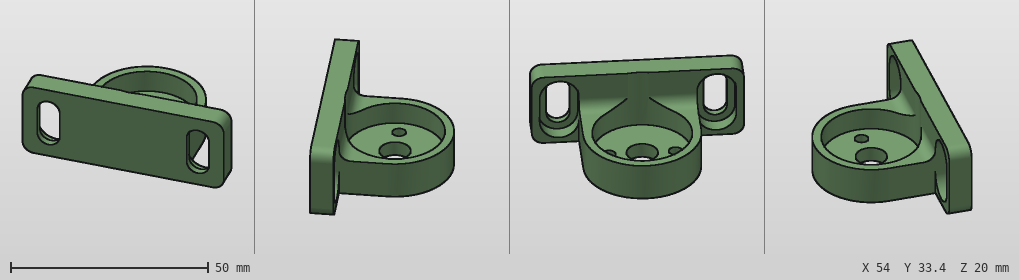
import cadquery as cq

plate_length = 54
plate_thickness = 6.0
plate_height = 20
corner_radius = 3.0

slot_width = 6.0
slot_length = 13.0
slot_spacing = 40.0
slot_lip_thickness = 2.0
recess_margin = 2.0

total_depth = 33.4
cup_width = 30.0
cup_height = plate_height / 2
cup_radius = cup_width / 2
cup_center_y = total_depth - cup_radius
fillet_radius = 3.0

pocket_diameter = 25.4
pocket_depth = 6.0
pocket_floor = cup_height - pocket_depth
center_hole_diameter = 8.0
screw_hole_diameter = 3.5
screw_hole_spacing = 17.0


def slot_pair(width, length, front, back):
    """Upright slots on both sides of the plate, cut from Y = front to Y = back."""
    return (
        cq.Workplane("XZ", origin=(0, front, plate_height / 2))
        .pushPoints([(-slot_spacing / 2, 0), (slot_spacing / 2, 0)])
        .slot2D(length, width, 90)
        .extrude(front - back)
    )


def make_plate():
    plate = (
        cq.Workplane("XY")
        .box(plate_length, plate_thickness, plate_height, centered=(True, False, False))
        .edges("|Y")
        .fillet(corner_radius)
    )
    slots = slot_pair(slot_width, slot_length, 0, plate_thickness)
    recesses = slot_pair(
        slot_width + 2 * recess_margin,
        slot_length + 2 * recess_margin,
        slot_lip_thickness,
        plate_thickness,
    )
    return plate.cut(slots).cut(recesses)


def make_cup():
    """Solid cup body: straight sides from the plate, ending in a half circle."""
    return (
        cq.Workplane("XY")
        .moveTo(-cup_radius, plate_thickness)
        .lineTo(cup_radius, plate_thickness)
        .lineTo(cup_radius, cup_center_y)
        .threePointArc((0, total_depth), (-cup_radius, cup_center_y))
        .close()
        .extrude(cup_height)
    )


def make_fillet():
    """Concave strip blending the top of the cup into the plate."""
    strip = cq.Workplane("XY").box(
        cup_width, fillet_radius, fillet_radius, centered=(True, False, False)
    ).translate((0, plate_thickness, cup_height))
    rounding = (
        cq.Workplane("YZ")
        .center(plate_thickness + fillet_radius, cup_height + fillet_radius)
        .circle(fillet_radius)
        .extrude(cup_radius, both=True)
    )
    return strip.cut(rounding)


def vertical_cylinder(diameter, bottom, top, x=0):
    """Cylinder along Z at the cup centre, offset sideways by x."""
    return (
        cq.Workplane("XY", origin=(x, cup_center_y, bottom))
        .circle(diameter / 2)
        .extrude(top - bottom)
    )


result = make_plate().union(make_cup()).union(make_fillet())

result = result.cut(vertical_cylinder(pocket_diameter, pocket_floor, plate_height))
result = result.cut(vertical_cylinder(center_hole_diameter, 0, pocket_floor))
for side in (-1, 1):
    hole_x = side * screw_hole_spacing / 2
    result = result.cut(vertical_cylinder(screw_hole_diameter, 0, pocket_floor, hole_x))